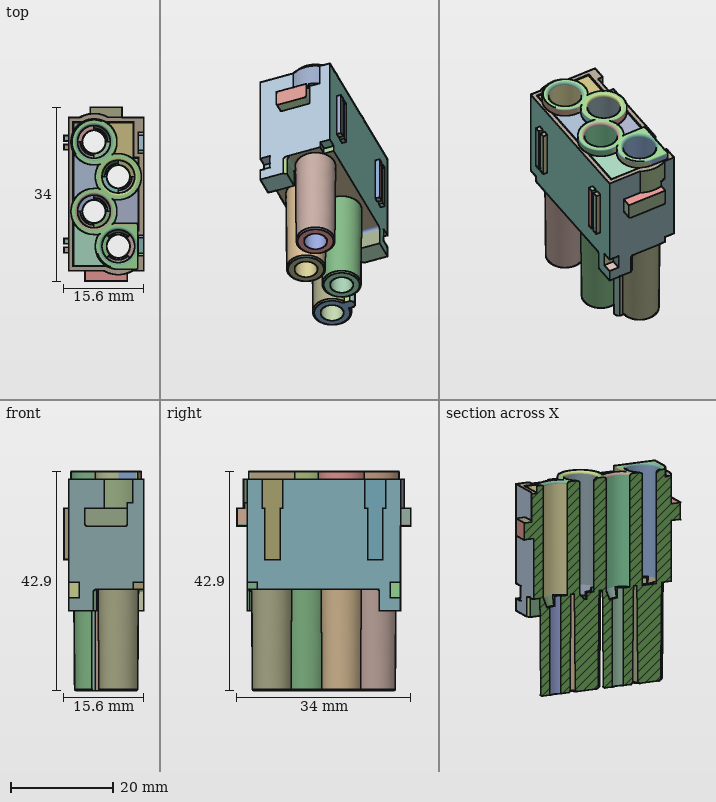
import math

import cadquery as cq


body_x = 14.7
body_y = 30.0
body_bottom = 19.9
body_top = 41.4
total_height = 42.9
half_x = body_x / 2
half_y = body_y / 2

row_offset = 2.38
contact_pitch = 6.8
contact_points = [
    (-row_offset, 1.5 * contact_pitch),
    (row_offset, 0.5 * contact_pitch),
    (-row_offset, -0.5 * contact_pitch),
    (row_offset, -1.5 * contact_pitch),
]

tube_root_radius = 3.95
tube_end_radius = 3.8
tube_chamfer = 0.3

key_reach = 1.2
key_width = 1.9
key_nose = 0.62

collar_radius = 4.5
collar_edge_radius = 0.2
block_right = 6.2
block_corner_radius = 0.35

bore_radius = 3.2
bore_lip_radius = 0.5
bore_floor = body_bottom
pin_hole_radius = 2.25
ramp_end_radius = 2.65
ramp_depth = 2.0
ramp_sweep = 90
ramp_starts = [0, 90, 0, 45]

panel_depth = 0.1
panel_wall = 0.15
panel_margin = 0.87
panel_narrow_right = 5.4
panel_wide_right = 6.4
panel_wide_half_length = 7.17

bulge_radius = 5.55
bulge_bottom = 36.8
tab_top = 35.7
tab_bottom = 32.2
tab_reach = 2.0
front_tab_half_width = 4.14
rear_tab_half_width = 3.14
tab_corner_radius = 0.4

rib_reach = 0.9
rib_width = 1.1
rib_spacing = 1.73
rib_bottom = 25.65
rib_top = tab_top
rib_group_y = 10.05
rib_group_centers = [rib_group_y, -rib_group_y]
slot_depth = 1.06
slot_width = 4.05
slot_lower_width = 2.97

leg_bottom = 15.65
leg_face_width = 4.82
leg_flare_x = 0.67
leg_flare_y = 0.5
leg_length = 4.14
leg_root_radius = 0.6
notch_x = 2.05
notch_y = 2.0
notch_top = 21.2
leg_notch_bottom = 18.15


def box(x_range, y_range, z_range):
    """Axis-aligned block between the given limits."""
    size = [limits[1] - limits[0] for limits in (x_range, y_range, z_range)]
    return cq.Workplane("XY").box(*size, centered=False).translate((x_range[0], y_range[0], z_range[0]))


def cylinder(point, radius, z_bottom, z_top):
    return cq.Workplane("XY", origin=(*point, z_bottom)).circle(radius).extrude(z_top - z_bottom)


def half_turn(shape):
    """Copy of a shape turned 180 degrees about the vertical axis."""
    return shape.rotate((0, 0, 0), (0, 0, 1), 180)


def corner_leg():
    """Leg under the (-X, -Y) corner; its inner side flares out behind the end face."""
    face_edge = -half_x + leg_face_width
    back = -half_y + leg_length
    outline = [
        (-half_x, -half_y),
        (face_edge, -half_y),
        (face_edge + leg_flare_x, -half_y + leg_flare_y),
        (face_edge + leg_flare_x, back),
        (-half_x, back),
    ]
    leg_height = body_bottom - leg_bottom
    return cq.Workplane("XY", origin=(0, 0, leg_bottom)).polyline(outline).close().extrude(leg_height)


def housing():
    """Main block with its two legs blended into the underside and its four corner notches."""
    block = box((-half_x, half_x), (-half_y, half_y), (body_bottom, body_top))
    leg = corner_leg()
    block = block.union(leg).union(half_turn(leg))
    inside = 0.1
    root_edges = cq.selectors.BoxSelector(
        (-half_x + inside, -half_y + inside, body_bottom - inside),
        (half_x - inside, half_y - inside, body_bottom + inside),
    )
    block = block.edges(root_edges).fillet(leg_root_radius)
    notch_x_range = (-half_x, -half_x + notch_x)
    leg_notch = box(notch_x_range, (-half_y, -half_y + notch_y), (leg_notch_bottom, notch_top))
    open_notch = box(notch_x_range, (half_y - notch_y, half_y), (body_bottom, notch_top))
    for notch in (leg_notch, open_notch):
        block = block.cut(notch).cut(half_turn(notch))
    return block


def bulges():
    """Rounded bulges on the end faces, concentric with the first and last contacts."""
    first = contact_points[0]
    disc = cylinder(first, bulge_radius, bulge_bottom, body_top)
    rear = disc.intersect(box((-half_x, half_x), (first[1], half_y * 2), (0, total_height)))
    return rear.union(half_turn(rear))


def end_tab(half_width):
    """Latch tab on the -Y face with rounded lower corners and the bulge carried down behind it."""
    tab = box((-half_width, half_width), (-half_y - tab_reach, -half_y), (tab_bottom, tab_top))
    tab = tab.edges("|Y and <Z").fillet(tab_corner_radius)
    last = contact_points[3]
    neck = cylinder(last, bulge_radius, tab_top, bulge_bottom)
    neck = neck.intersect(box((-half_width, half_width), (-half_y * 2, last[1]), (0, total_height)))
    return tab.union(neck)


def side_ribs():
    ribs = cq.Workplane("XY")
    for group_y in rib_group_centers:
        for side in (-0.5, 0.5):
            y = group_y + side * rib_spacing
            y_range = (y - rib_width / 2, y + rib_width / 2)
            ribs = ribs.union(box((-half_x - rib_reach, -half_x), y_range, (rib_bottom, rib_top)))
    return ribs


def side_slots():
    """Slots in the +X face, wide beside the upper housing and narrower below."""
    slots = cq.Workplane("XY")
    for y in rib_group_centers:
        upper_y = (y - slot_width / 2, y + slot_width / 2)
        lower_y = (y - slot_lower_width / 2, y + slot_lower_width / 2)
        slots = slots.union(box((half_x - slot_depth, half_x), upper_y, (rib_top, body_top)))
        slots = slots.union(box((half_x - slot_depth, half_x), lower_y, (rib_bottom, rib_top)))
    return slots


def top_panel():
    """Shallow recess with sloping walls, wider between the two side slots."""
    left = -half_x + panel_margin
    end = half_y - panel_margin
    outline = [
        (left, -end),
        (panel_narrow_right, -end),
        (panel_narrow_right, -panel_wide_half_length),
        (panel_wide_right, -panel_wide_half_length),
        (panel_wide_right, panel_wide_half_length),
        (panel_narrow_right, panel_wide_half_length),
        (panel_narrow_right, end),
        (left, end),
    ]
    wall_angle = math.degrees(math.atan2(panel_wall, panel_depth))
    mouth = cq.Workplane("XY", origin=(0, 0, body_top)).polyline(outline).close()
    return mouth.extrude(-panel_depth, taper=wall_angle)


def collars():
    """Rings around the openings, joined by webs and squared off into a block at the last one."""
    z_range = (body_top - panel_depth, total_height)
    raised = cq.Workplane("XY")
    for point in contact_points:
        raised = raised.union(cylinder(point, collar_radius, *z_range))

    for upper, lower in zip(contact_points, contact_points[1:]):
        for (x, y), edge in ((upper, upper[1] - collar_radius), (lower, lower[1] + collar_radius)):
            raised = raised.union(box(sorted((x, 0)), sorted((y, edge)), z_range))

    last_x, last_y = contact_points[3]
    y_range = (last_y - collar_radius, last_y + collar_radius)
    block = box((last_x, block_right), y_range, z_range)
    block = block.edges("|Z and >X and <Y").fillet(block_corner_radius)
    overhang = box((block_right, half_x), y_range, z_range)
    raised = raised.union(block).cut(overhang)
    return raised.faces(">Z").edges().fillet(collar_edge_radius)


def tube(point):
    """Lower contact tube, tapering down to a chamfered end."""
    profile = [
        (0, 0),
        (tube_end_radius - tube_chamfer, 0),
        (tube_end_radius, tube_chamfer),
        (tube_root_radius, body_bottom),
        (0, body_bottom),
    ]
    return cq.Workplane("XZ").polyline(profile).close().revolve(360, (0, 0), (0, 1)).translate((*point, 0))


def key_rib():
    """Rib with a bowed nose along the -X side of the fourth tube."""
    x, y = contact_points[3]
    tip_x = x - tube_root_radius - key_reach
    flank_end_x = tip_x + key_nose
    outline = (
        cq.Workplane("XY")
        .moveTo(x, y)
        .lineTo(flank_end_x, y)
        .threePointArc((tip_x, y + key_width / 2), (flank_end_x, y + key_width))
        .lineTo(x, y + key_width)
        .close()
    )
    return outline.extrude(body_bottom)


def bore(point, ramp_start):
    """Stepped bore with a rounded mouth and two opposite conical ramps below its floor."""
    mouth = total_height - bore_lip_radius
    profile = (
        cq.Workplane("XZ")
        .moveTo(0, 0)
        .lineTo(pin_hole_radius, 0)
        .lineTo(pin_hole_radius, bore_floor)
        .lineTo(bore_radius, bore_floor)
        .lineTo(bore_radius, mouth)
        .radiusArc((bore_radius + bore_lip_radius, total_height), bore_lip_radius)
        .lineTo(0, total_height)
        .close()
    )
    cavity = profile.revolve(360, (0, 0), (0, 1))
    ramp_profile = [
        (0, bore_floor - ramp_depth),
        (ramp_end_radius, bore_floor - ramp_depth),
        (bore_radius, bore_floor),
        (0, bore_floor),
    ]
    ramp = cq.Workplane("XZ").polyline(ramp_profile).close().revolve(ramp_sweep, (0, 0), (0, 1))
    ramp = ramp.rotate((0, 0, 0), (0, 0, 1), ramp_start)
    return cavity.union(ramp).union(half_turn(ramp)).translate((*point, 0))


result = housing().union(bulges())
result = result.union(end_tab(front_tab_half_width)).union(half_turn(end_tab(rear_tab_half_width)))
result = result.union(side_ribs()).cut(side_slots()).cut(top_panel()).union(collars())
for contact_point in contact_points:
    result = result.union(tube(contact_point))
result = result.union(key_rib())
for contact_point, start_angle in zip(contact_points, ramp_starts):
    result = result.cut(bore(contact_point, start_angle))